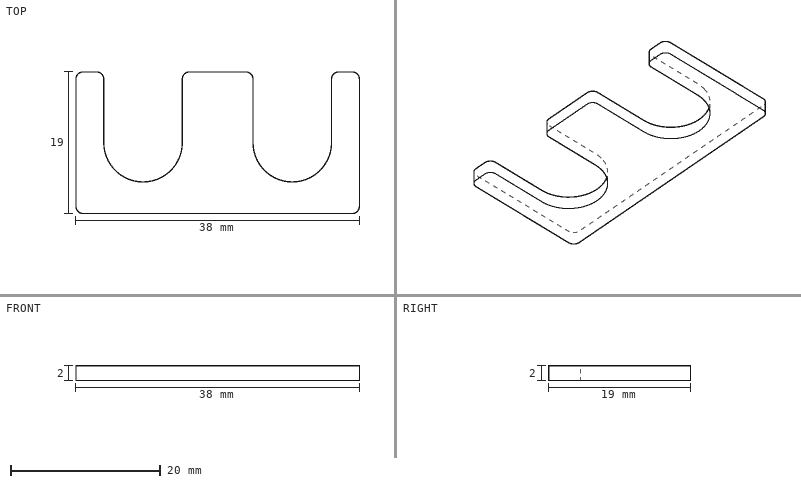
import cadquery as cq

length = 38.0
width = length / 2
thickness = 2.0
corner_radius = 1.0

slot_width = 10.5
slot_spacing = 20.0
slot_center_y = 0.0


def slot_cutter(center_x):
    """Solid of one slot: a round bottom extended straight out through the +Y edge."""
    round_bottom = (
        cq.Workplane("XY")
        .center(center_x, slot_center_y)
        .circle(slot_width / 2)
        .extrude(thickness)
    )
    straight_length = width / 2 - slot_center_y
    straight_part = (
        cq.Workplane("XY")
        .center(center_x, slot_center_y + straight_length / 2)
        .rect(slot_width, straight_length)
        .extrude(thickness)
    )
    return round_bottom.union(straight_part)


plate = cq.Workplane("XY").rect(length, width).extrude(thickness)
for side in (-1, 1):
    plate = plate.cut(slot_cutter(side * slot_spacing / 2))

outer_corners = plate.faces(">Y or <Y").edges("|Z")
result = outer_corners.fillet(corner_radius)